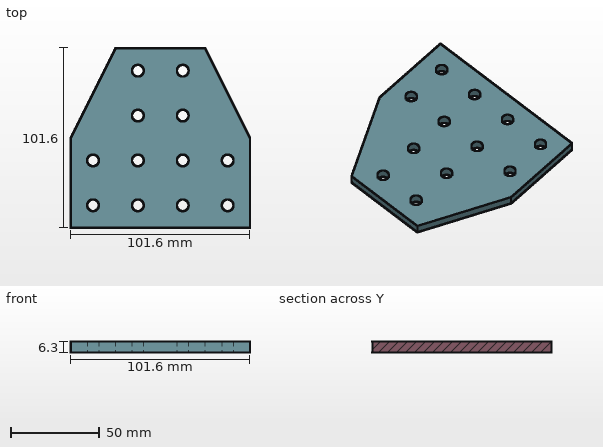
import cadquery as cq

side = 101.6
thickness = 6.3
hole_diameter = 6.5
columns = 4

pitch = side / columns
half_side = side / 2
half_top = pitch

outline = [
    (-half_side, -half_side),
    (half_side, -half_side),
    (half_side, 0),
    (half_top, half_side),
    (-half_top, half_side),
    (-half_side, 0),
]
plate = cq.Workplane("XY").polyline(outline).close().extrude(thickness)


def hole_centres():
    """Full rows of holes in the wide half, only the two middle columns in the tapered half."""
    centres = []
    for row in range(columns):
        y = (row + 0.5) * pitch - half_side
        for column in range(columns):
            x = (column + 0.5) * pitch - half_side
            if y < 0 or abs(x) < half_top:
                centres.append((x, y))
    return centres


holes = cq.Workplane("XY").pushPoints(hole_centres()).circle(hole_diameter / 2).extrude(thickness)

result = plate.cut(holes)